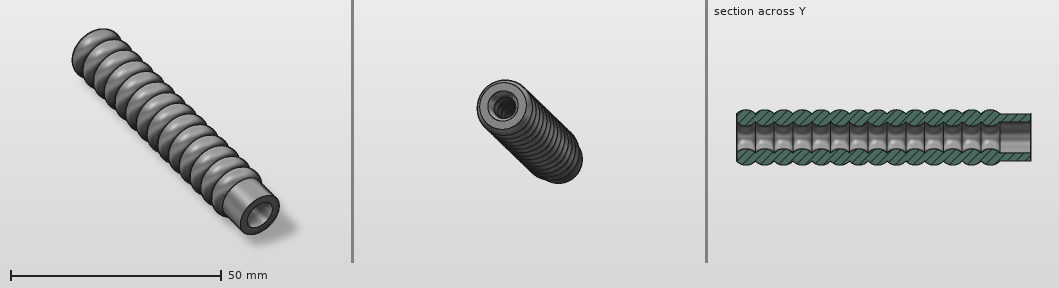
import cadquery as cq
import math

ring_count = 14
ring_arc_radius = 3.0
ring_height = 1.0
ring_half_pitch = math.sqrt(ring_arc_radius**2 - (ring_arc_radius - ring_height) ** 2)
ring_pitch = 2 * ring_half_pitch

total_length = 70.0
start_x = -total_length / 2
end_x = total_length / 2
rings_end_x = start_x + ring_count * ring_pitch

crest_radius = 6.66
collar_radius = crest_radius - ring_height
wall_thickness = 2.0
bore_radius = collar_radius - wall_thickness
throat_radius = bore_radius - ring_height


def add_outer_rings(profile):
    """Run along +X over the outer rings, from valley to valley."""
    for ring in range(ring_count):
        ring_start_x = start_x + ring * ring_pitch
        crest = (ring_start_x + ring_half_pitch, crest_radius)
        valley = (ring_start_x + ring_pitch, collar_radius)
        profile = profile.threePointArc(crest, valley)
    return profile


def add_bore_ribs(profile):
    """Run back along -X over the bore ribs, which bulge towards the axis."""
    for rib in reversed(range(ring_count)):
        rib_start_x = start_x + rib * ring_pitch
        throat = (rib_start_x + ring_half_pitch, throat_radius)
        valley = (rib_start_x, bore_radius)
        profile = profile.threePointArc(throat, valley)
    return profile


def tube_half_section():
    """Closed section of the tube wall: ringed length, then a plain collar."""
    profile = cq.Workplane("XY").moveTo(start_x, collar_radius)
    profile = add_outer_rings(profile)
    profile = profile.lineTo(end_x, collar_radius)
    profile = profile.lineTo(end_x, bore_radius)
    profile = profile.lineTo(rings_end_x, bore_radius)
    profile = add_bore_ribs(profile)
    return profile.close()


result = tube_half_section().revolve(360, (0, 0, 0), (1, 0, 0))